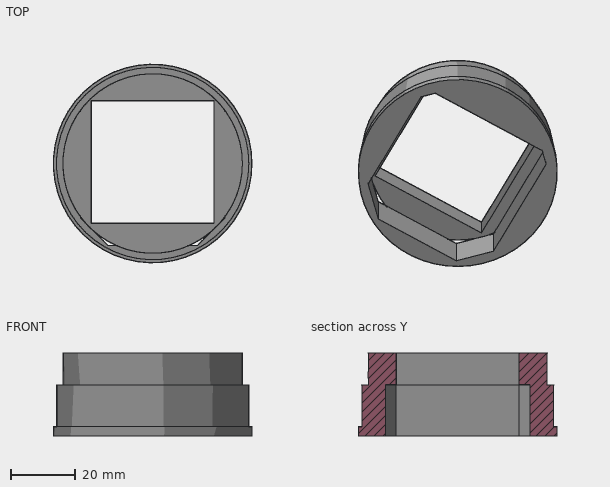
import cadquery as cq

FLANGE_DIAMETER = 62.0
FLANGE_HEIGHT = 3.0
BODY_DIAMETER = 60.0
BODY_HEIGHT = 13.0
NECK_DIAMETER = 56.0
NECK_HEIGHT = 10.0

OPENING_SIDE = 38.2
OPENING_CENTER_Y = 0.5

POCKET_SIDE = 45.0
POCKET_BACK_Y = 19.5
BACK_CORNER_CUT = 3.3
FRONT_CORNER_CUT = 8.5

POCKET_DEPTH = FLANGE_HEIGHT + BODY_HEIGHT


def make_stepped_body():
    """Three coaxial discs stacked along Z."""
    return (
        cq.Workplane("XY")
        .circle(FLANGE_DIAMETER / 2)
        .extrude(FLANGE_HEIGHT)
        .faces(">Z")
        .workplane()
        .circle(BODY_DIAMETER / 2)
        .extrude(BODY_HEIGHT)
        .faces(">Z")
        .workplane()
        .circle(NECK_DIAMETER / 2)
        .extrude(NECK_HEIGHT)
    )


def make_opening():
    """Square prism that passes through the neck into the pocket."""
    return (
        cq.Workplane("XY")
        .workplane(offset=POCKET_DEPTH)
        .center(0, OPENING_CENTER_Y)
        .rect(OPENING_SIDE, OPENING_SIDE)
        .extrude(NECK_HEIGHT)
    )


def make_pocket():
    """Square prism with 45 degree cut corners, larger cuts at the front (-Y)."""
    block = (
        cq.Workplane("XY")
        .center(0, POCKET_BACK_Y - POCKET_SIDE / 2)
        .rect(POCKET_SIDE, POCKET_SIDE)
        .extrude(POCKET_DEPTH)
    )
    return (
        block
        .edges("|Z and >Y")
        .chamfer(BACK_CORNER_CUT)
        .edges("|Z and <Y")
        .chamfer(FRONT_CORNER_CUT)
    )


result = make_stepped_body().cut(make_opening()).cut(make_pocket())